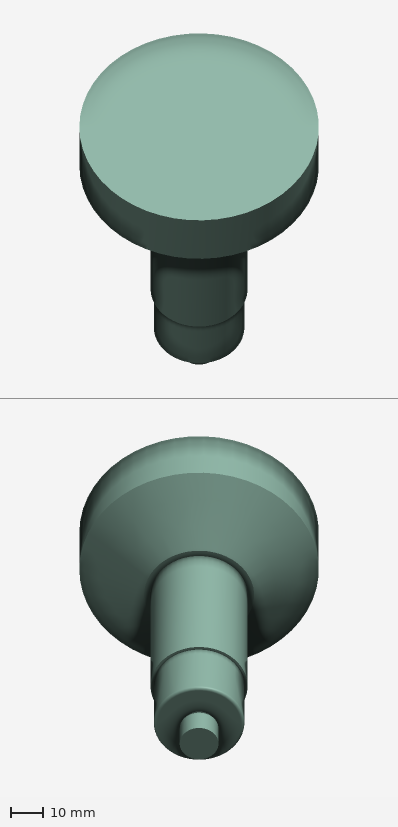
import cadquery as cq
import math

pin_diameter = 12.0
neck_diameter = 10.0
guide_diameter = 28.0
shank_diameter = 30.0
cone_small_diameter = 34.0
head_diameter = 74.0

pin_length = 8.0
neck_length = 2.0
guide_length = 20.0
shank_length = 47.5
cone_length = 13.5
head_length = 19.0

guide_fillet_radius = 1.0

neck_bottom = pin_length
guide_bottom = neck_bottom + neck_length
shank_bottom = guide_bottom + guide_length
cone_bottom = shank_bottom + shank_length
head_bottom = cone_bottom + cone_length
head_top = head_bottom + head_length


def revolved_body():
    """Revolve the stepped half-section (radius, height) around the Z axis."""
    pin_radius = pin_diameter / 2
    neck_radius = neck_diameter / 2
    guide_radius = guide_diameter / 2
    shank_radius = shank_diameter / 2
    cone_small_radius = cone_small_diameter / 2
    head_radius = head_diameter / 2
    fillet_height = guide_bottom + guide_fillet_radius
    fillet_inset = guide_fillet_radius * (1 - math.sqrt(0.5))
    fillet_middle = (guide_radius - fillet_inset, guide_bottom + fillet_inset)
    section = (
        cq.Workplane("XZ")
        .lineTo(pin_radius, 0)
        .lineTo(pin_radius, neck_bottom)
        .lineTo(neck_radius, neck_bottom)
        .lineTo(neck_radius, guide_bottom)
        .lineTo(guide_radius - guide_fillet_radius, guide_bottom)
        .threePointArc(fillet_middle, (guide_radius, fillet_height))
        .lineTo(guide_radius, shank_bottom)
        .lineTo(shank_radius, shank_bottom)
        .lineTo(shank_radius, cone_bottom)
        .lineTo(cone_small_radius, cone_bottom)
        .lineTo(head_radius, head_bottom)
        .lineTo(head_radius, head_top)
        .lineTo(0, head_top)
        .close()
    )
    axis_start = (0, 0)
    axis_end = (0, 1)
    return section.revolve(360, axis_start, axis_end)


result = revolved_body()